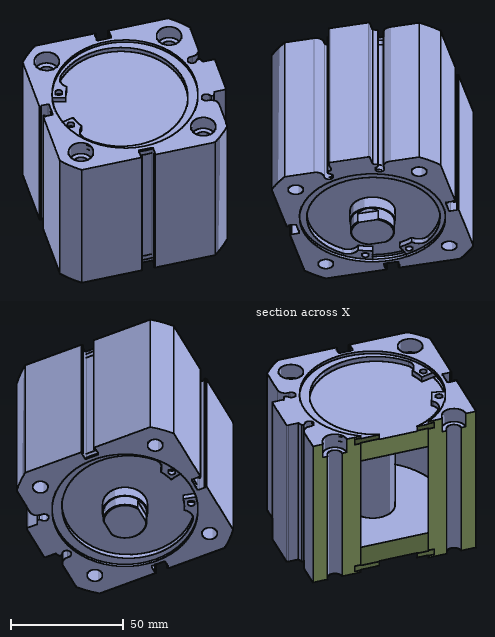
import cadquery as cq
import math

BARREL_WIDTH = 77.5
BARREL_LENGTH = 75.0
HALF_WIDTH = BARREL_WIDTH / 2
CORNER_RADIUS = 49.55
BORE_RADIUS = 32.5

BOLT_OFFSET = 28.3
BOLT_RADIUS = 3.4
COUNTERBORE_RADIUS = 5.6
COUNTERBORE_DEPTH = 7.2

SLOT_DEPTH = 4.5
SLOT_HALF_WIDTH = 3.3
SLOT_MOUTH_HALF_WIDTH = 2.65
SLOT_LIP = 0.8
SLOT_MOUTH_CHAMFER = 0.4
SLOT_FLOOR_RADIUS = 0.5

RAIL_HEIGHT = 5.5
RAIL_HALF_WIDTH = 9.5
RAIL_CORNER_RADIUS = 0.7
RAIL_LIP_HALF_WIDTH = 11.5
RAIL_LIP_HEIGHT = 1.0
CHANNEL_X = 11.7
CHANNEL_Y = 34.3
CHANNEL_RADIUS = 2.0
CHANNEL_MOUTH_RADIUS = 3.7
LIP_ROOT_X = 10.8

RING_SETBACK = 1.4
RING_THICKNESS = 2.6
GROOVE_WALL = 0.25
RING_OUTER_RADIUS = HALF_WIDTH - SLOT_DEPTH - GROOVE_WALL
RING_INNER_RADIUS = 29.7
RING_INNER_SHIFT = 1.75
GAP_HALF_ANGLE = 13.6
LUG_END_ANGLE = 27.6
LUG_ROOT_ANGLE = 31.6
LUG_INNER_RADIUS = 26.5
LUG_FILLET = 5.0
LUG_HOLE_X = 10.05
LUG_HOLE_Y = -27.9
LUG_HOLE_RADIUS = 1.6
COVER_THICKNESS = 10.0
COVER_SETBACK = RING_SETBACK + RING_THICKNESS
RING_BOTTOMS = (RING_SETBACK, BARREL_LENGTH - COVER_SETBACK)
HEAD_COVER_BOTTOM = BARREL_LENGTH - COVER_SETBACK - COVER_THICKNESS

ROD_RADIUS = 10.05
ROD_EXTENSION = 8.0
ROD_COLLAR_LENGTH = 1.75
ROD_TIP_RADIUS = 9.7
ROD_TIP_CHAMFER = 0.3
FLAT_HALF_WIDTH = 8.5
FLAT_SHOULDER = 1.3


def cylinder(radius, bottom, height):
    return cq.Workplane("XY").workplane(offset=bottom).circle(radius).extrude(height)


def polar(radius, degrees):
    """Point at an angle measured from -Y towards +X."""
    angle = math.radians(degrees)
    return (radius * math.sin(angle), -radius * math.cos(angle))


def barrel_block():
    block = cq.Workplane("XY").rect(BARREL_WIDTH, BARREL_WIDTH).extrude(BARREL_LENGTH)
    return block.intersect(cylinder(CORNER_RADIUS, 0, BARREL_LENGTH))


def sensor_slot(turn):
    """Slot with a narrowed mouth, drawn in the -Y side and turned about Z."""
    floor = -HALF_WIDTH + SLOT_DEPTH
    lip = -HALF_WIDTH + SLOT_LIP
    slot = (
        cq.Workplane("XY")
        .moveTo(-SLOT_MOUTH_HALF_WIDTH - SLOT_MOUTH_CHAMFER, -HALF_WIDTH)
        .lineTo(-SLOT_MOUTH_HALF_WIDTH, -HALF_WIDTH + SLOT_MOUTH_CHAMFER)
        .lineTo(-SLOT_MOUTH_HALF_WIDTH, lip)
        .lineTo(-SLOT_HALF_WIDTH, lip)
        .lineTo(-SLOT_HALF_WIDTH, floor)
        .lineTo(SLOT_HALF_WIDTH, floor)
        .lineTo(SLOT_HALF_WIDTH, lip)
        .lineTo(SLOT_MOUTH_HALF_WIDTH, lip)
        .lineTo(SLOT_MOUTH_HALF_WIDTH, -HALF_WIDTH + SLOT_MOUTH_CHAMFER)
        .lineTo(SLOT_MOUTH_HALF_WIDTH + SLOT_MOUTH_CHAMFER, -HALF_WIDTH)
        .close()
        .extrude(BARREL_LENGTH)
        .edges("|Z and >Y")
        .fillet(SLOT_FLOOR_RADIUS)
    )
    return slot.rotate((0, 0, 0), (0, 0, 1), turn)


def rail():
    return (
        cq.Workplane("XY")
        .center(0, HALF_WIDTH + RAIL_HEIGHT / 2)
        .rect(2 * RAIL_HALF_WIDTH, RAIL_HEIGHT)
        .extrude(BARREL_LENGTH)
        .edges("|Z and >Y")
        .fillet(RAIL_CORNER_RADIUS)
    )


def rail_channel():
    """Undercut channel on the +X flank of the rail."""
    wall_x = CHANNEL_X + CHANNEL_RADIUS
    root_y = CHANNEL_Y + math.sqrt(CHANNEL_RADIUS**2 - (CHANNEL_X - LIP_ROOT_X) ** 2)
    lip_y = HALF_WIDTH - RAIL_LIP_HEIGHT
    mouth_y = HALF_WIDTH - CHANNEL_MOUTH_RADIUS
    mouth_arc = CHANNEL_MOUTH_RADIUS * (1 - math.sqrt(0.5))
    return (
        cq.Workplane("XY")
        .moveTo(RAIL_HALF_WIDTH, HALF_WIDTH)
        .lineTo(RAIL_LIP_HALF_WIDTH, lip_y)
        .lineTo(RAIL_LIP_HALF_WIDTH, root_y + RAIL_LIP_HALF_WIDTH - LIP_ROOT_X)
        .lineTo(LIP_ROOT_X, root_y)
        .threePointArc((CHANNEL_X, CHANNEL_Y - CHANNEL_RADIUS), (wall_x, CHANNEL_Y))
        .lineTo(wall_x, mouth_y)
        .threePointArc(
            (wall_x + mouth_arc, HALF_WIDTH - mouth_arc),
            (wall_x + CHANNEL_MOUTH_RADIUS, HALF_WIDTH),
        )
        .close()
        .extrude(BARREL_LENGTH)
    )


def bolt_holes():
    spots = [(x, y) for x in (-BOLT_OFFSET, BOLT_OFFSET) for y in (-BOLT_OFFSET, BOLT_OFFSET)]
    through = cq.Workplane("XY").pushPoints(spots).circle(BOLT_RADIUS).extrude(BARREL_LENGTH)
    counterbores = (
        cq.Workplane("XY")
        .workplane(offset=BARREL_LENGTH - COUNTERBORE_DEPTH)
        .pushPoints(spots)
        .circle(COUNTERBORE_RADIUS)
        .extrude(COUNTERBORE_DEPTH)
    )
    return through.union(counterbores)


def make_barrel():
    barrel = barrel_block().union(rail())
    channel = rail_channel()
    barrel = barrel.cut(channel).cut(channel.mirror("YZ"))
    for turn in (-90, 0, 90):
        barrel = barrel.cut(sensor_slot(turn))
    barrel = barrel.cut(bolt_holes())
    barrel = barrel.cut(cylinder(BORE_RADIUS, 0, BARREL_LENGTH))
    for bottom in RING_BOTTOMS:
        barrel = barrel.cut(cylinder(RING_OUTER_RADIUS, bottom, RING_THICKNESS))
    return barrel


def lug_blank():
    """Sector inside the ring, spanning both lugs and the gap between them."""
    return (
        cq.Workplane("XY")
        .moveTo(*polar(LUG_INNER_RADIUS, -LUG_END_ANGLE))
        .threePointArc(polar(LUG_INNER_RADIUS, 0), polar(LUG_INNER_RADIUS, LUG_END_ANGLE))
        .lineTo(*polar(BORE_RADIUS, LUG_ROOT_ANGLE))
        .threePointArc(polar(BORE_RADIUS, 0), polar(BORE_RADIUS, -LUG_ROOT_ANGLE))
        .close()
        .extrude(RING_THICKNESS)
    )


def ring_gap():
    reach = 2 * RING_OUTER_RADIUS
    return (
        cq.Workplane("XY")
        .polyline([(0, 0), polar(reach, -GAP_HALF_ANGLE), polar(reach, GAP_HALF_ANGLE)])
        .close()
        .extrude(RING_THICKNESS)
    )


def lug_root_selector():
    """Box around the two edges where the lugs meet the inside of the ring."""
    x, y = polar(RING_INNER_RADIUS + RING_INNER_SHIFT, LUG_ROOT_ANGLE)
    margin = 0.8
    return cq.selectors.BoxSelector(
        (-x - margin, y - margin, 0),
        (x + margin, y + margin, RING_THICKNESS),
    )


def make_retaining_ring(bottom):
    inside = cylinder(RING_INNER_RADIUS, 0, RING_THICKNESS).translate((0, -RING_INNER_SHIFT, 0))
    ring = cylinder(RING_OUTER_RADIUS, 0, RING_THICKNESS).cut(inside).union(lug_blank())
    ring = ring.edges("|Z").edges(lug_root_selector()).fillet(LUG_FILLET)
    ring = ring.cut(ring_gap())
    holes = (
        cq.Workplane("XY")
        .pushPoints([(-LUG_HOLE_X, LUG_HOLE_Y), (LUG_HOLE_X, LUG_HOLE_Y)])
        .circle(LUG_HOLE_RADIUS)
        .extrude(RING_THICKNESS)
    )
    return ring.cut(holes).translate((0, 0, bottom))


def make_head_cover():
    return cylinder(BORE_RADIUS, HEAD_COVER_BOTTOM, COVER_THICKNESS)


def make_rod_cover():
    cover = cylinder(BORE_RADIUS, COVER_SETBACK, COVER_THICKNESS)
    return cover.cut(cylinder(ROD_RADIUS, COVER_SETBACK, COVER_THICKNESS))


def wrench_flat():
    """Cutter for the flat on the -Y side of the rod tip, with its sloped run-out."""
    outside = -2 * ROD_RADIUS
    slope_start = -FLAT_HALF_WIDTH - FLAT_SHOULDER
    return (
        cq.Workplane("YZ")
        .polyline([
            (-FLAT_HALF_WIDTH, -ROD_EXTENSION),
            (-FLAT_HALF_WIDTH, -ROD_COLLAR_LENGTH - FLAT_SHOULDER),
            (slope_start, -ROD_COLLAR_LENGTH),
            (outside, -ROD_COLLAR_LENGTH),
            (outside, -ROD_EXTENSION),
        ])
        .close()
        .extrude(ROD_RADIUS, both=True)
    )


def make_rod():
    tip_length = ROD_EXTENSION - ROD_COLLAR_LENGTH
    tip = cylinder(ROD_TIP_RADIUS, -ROD_EXTENSION, tip_length)
    tip = tip.faces("<Z").chamfer(ROD_TIP_CHAMFER)
    flat = wrench_flat()
    tip = tip.cut(flat).cut(flat.mirror("XZ"))
    shank = cylinder(ROD_RADIUS, -ROD_COLLAR_LENGTH, HEAD_COVER_BOTTOM + ROD_COLLAR_LENGTH)
    return shank.union(tip)


barrel = make_barrel()
rings = [make_retaining_ring(bottom) for bottom in RING_BOTTOMS]
head_cover = make_head_cover()
rod_cover = make_rod_cover()
rod = make_rod()

result = cq.Compound.makeCompound([
    barrel.val(),
    *[ring.val() for ring in rings],
    head_cover.val(),
    rod_cover.val(),
    rod.val(),
])